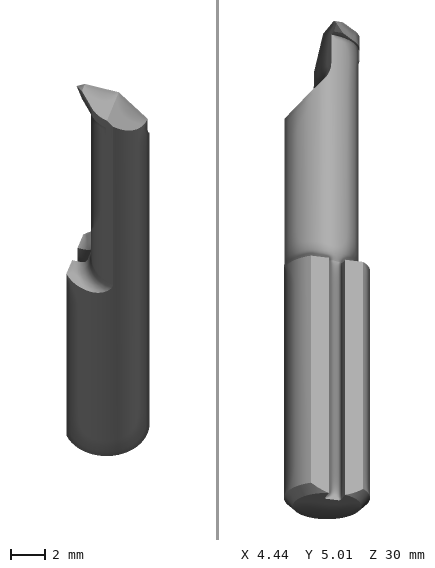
import cadquery as cq
import math

length = 30.0
shank_radius = 2.505
flat_x = -1.935
base_chamfer = 0.5

slot_width = 1.0
slot_depth = 0.9
slot_corner_radius = 0.15

neck_x = 1.45
neck_radius = 2.265
neck_fillet = 0.78
shoulder_z = 14.8

relief_bottom_z = 27.57
relief_radius = 1.5
relief_angle = 42.0

tip_x = -1.83
tip_shoulder_x = -1.32
tip_drop = 0.35
head_thickness = 0.675
clearance_angle = 3.0
edge_end_x = 0.75
back_drop = 1.7
tab_x = 0.7
tab_bottom_z = 28.47
tab_corner_radius = 0.15
flank_end_x = -0.525
flank_end_y = -1.425
flank_mid_x = 0.3
flank_mid_y = -2.07
head_end_x = 1.15

margin = 3.0
reach = 2 * shank_radius + margin


def make_shank():
    bar = cq.Workplane("XY").circle(shank_radius).extrude(length)
    bar = bar.faces("<Z").chamfer(base_chamfer)
    trim = cq.Workplane("XY").box(reach, 2 * reach, length + 2 * margin, centered=(False, True, False))
    return bar.cut(trim.translate((flat_x - reach, 0, -margin)))


def make_slot():
    slot = cq.Workplane("XY").box(
        slot_depth + margin, slot_width, shoulder_z + neck_fillet + margin, centered=(False, True, False)
    )
    slot = slot.edges("|Z and >X").fillet(slot_corner_radius)
    return slot.translate((flat_x - margin, 0, -margin))


def make_neck_cutter():
    """Ring around the neck, with a rounded foot where it meets the shoulder."""
    foot_radius = neck_radius + neck_fillet
    arc_offset = neck_fillet * (1 - math.sqrt(0.5))
    return (
        cq.Workplane("XZ")
        .moveTo(neck_radius, length + margin)
        .lineTo(neck_radius, shoulder_z + neck_fillet)
        .threePointArc((neck_radius + arc_offset, shoulder_z + arc_offset), (foot_radius, shoulder_z))
        .lineTo(reach, shoulder_z)
        .lineTo(reach, length + margin)
        .close()
        .revolve(360, (0, 0, 0), (0, 1, 0))
        .translate((neck_x, 0, 0))
    )


def make_relief():
    """Space on the +Y side: upright face, blend arc, then a sloping run-out."""
    angle = math.radians(relief_angle)

    def arc_point(turn):
        return (relief_radius * (1 - math.cos(turn)), relief_bottom_z - relief_radius * math.sin(turn))

    arc_end_y, arc_end_z = arc_point(angle)
    runout_z = arc_end_z - (reach - arc_end_y) / math.tan(angle)
    return (
        cq.Workplane("YZ")
        .moveTo(0, length + margin)
        .lineTo(0, relief_bottom_z)
        .threePointArc(arc_point(angle / 2), (arc_end_y, arc_end_z))
        .lineTo(reach, runout_z)
        .lineTo(reach, length + margin)
        .close()
        .extrude(reach, both=True)
    )


def tilt_for_clearance(body):
    """Tilt about the cutting edge so that the -Y side drops."""
    return body.rotate((0, 0, length), (1, 0, length), clearance_angle)


def make_back_bevel():
    """Space above the tilted top face and the bevel on its +X side."""
    back_slope = back_drop / (shank_radius - edge_end_x)
    space = (
        cq.Workplane("XZ")
        .moveTo(-reach, length)
        .lineTo(edge_end_x, length)
        .lineTo(reach, length - back_slope * (reach - edge_end_x))
        .lineTo(reach, length + margin)
        .lineTo(-reach, length + margin)
        .close()
        .extrude(reach, both=True)
    )
    return tilt_for_clearance(space)


def make_head():
    """Pointed cutting tip, with a short tab reaching down the neck."""
    head_end_y = -math.sqrt(shank_radius**2 - head_end_x**2)
    plan = (
        cq.Workplane("XY")
        .moveTo(tip_x, 0)
        .lineTo(flank_end_x, flank_end_y)
        .threePointArc((flank_mid_x, flank_mid_y), (head_end_x, head_end_y))
        .lineTo(head_end_x, 0)
        .close()
        .extrude(length)
    )
    edge_profile = (
        cq.Workplane("XZ")
        .moveTo(tip_x, length - tip_drop)
        .lineTo(tip_shoulder_x, length)
        .lineTo(head_end_x, length)
        .lineTo(head_end_x, length - head_thickness)
        .lineTo(tip_shoulder_x, length - head_thickness)
        .close()
        .extrude(reach)
    )
    tab = (
        cq.Workplane("XY")
        .box(head_end_x - tab_x, reach, length - tab_bottom_z, centered=False)
        .edges("|Y and <Z")
        .fillet(tab_corner_radius)
        .translate((tab_x, -reach, tab_bottom_z))
    )
    return plan.intersect(tilt_for_clearance(edge_profile).union(tab))


body = make_shank().cut(make_neck_cutter()).cut(make_slot()).cut(make_relief())
result = body.union(make_head()).cut(make_back_bevel())